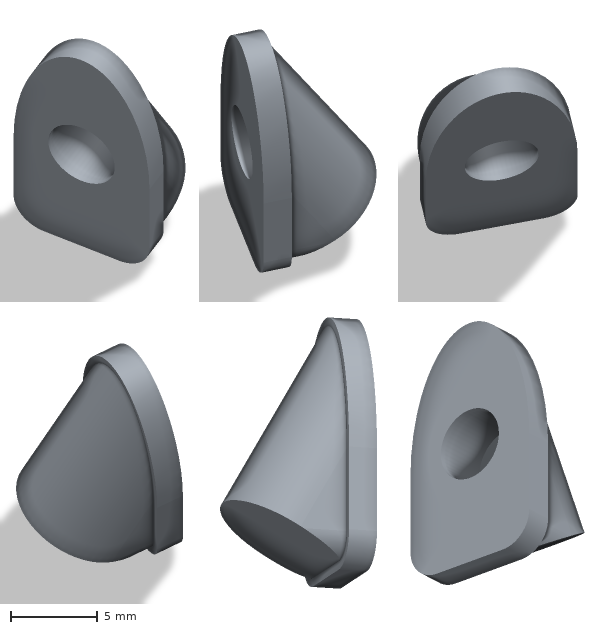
import cadquery as cq
import math

boss_radius = 4.0
boss_tilt = 30.0
axis_height = 6.4
boss_corner_radius = 1.5
flange_lip = 0.5
plate_thickness = 1.7
hole_diameter = 4.4
hole_height = 7.1
hole_depth = 3.5

tilt = math.radians(boss_tilt)
ellipse_height = boss_radius / math.sin(tilt)
boss_top = axis_height + ellipse_height
boss_reach = boss_top * math.sin(tilt) * math.cos(tilt)
boss_tip_height = boss_reach * math.tan(tilt)


def arch_outline(lip=0.0):
    """Arch on the back of the plate, grown by lip: half ellipse, straight sides, rounded lower corners."""
    half_width = boss_radius + lip
    bottom = -lip
    corner_shift = (boss_corner_radius + lip) * (1 - math.sqrt(0.5))
    flat_half = boss_radius - boss_corner_radius
    corner_x = half_width - corner_shift
    corner_z = bottom + corner_shift
    return (
        cq.Workplane("XZ")
        .moveTo(-flat_half, bottom)
        .lineTo(flat_half, bottom)
        .threePointArc((corner_x, corner_z), (half_width, boss_corner_radius))
        .lineTo(half_width, axis_height)
        .ellipseArc(half_width, ellipse_height + lip, 0, 180, startAtCurrent=True)
        .lineTo(-half_width, boss_corner_radius)
        .threePointArc((-corner_x, corner_z), (-flat_half, bottom))
        .close()
    )


def make_plate():
    """Flange plate: the boss section grown by the lip, from y = -plate_thickness to y = 0."""
    return arch_outline(flange_lip).extrude(plate_thickness)


def make_boss():
    """Arch section run straight back, limited by the inclined cylinder and its square end face."""
    straight_run = arch_outline().extrude(-boss_reach)
    side_profile = (
        cq.Workplane("YZ", origin=(-boss_radius, 0, 0))
        .polyline([(0, 0), (boss_reach, boss_tip_height), (0, boss_top)])
        .close()
        .extrude(2 * boss_radius)
    )
    axis_plane = cq.Plane(
        origin=(0, 0, axis_height),
        xDir=(1, 0, 0),
        normal=(0, -math.sin(tilt), math.cos(tilt)),
    )
    channel_half_length = 2 * boss_top
    channel = (
        cq.Workplane(axis_plane)
        .moveTo(-boss_radius, 0)
        .threePointArc((0, boss_radius), (boss_radius, 0))
        .lineTo(boss_radius, -boss_top)
        .lineTo(-boss_radius, -boss_top)
        .close()
        .extrude(channel_half_length, both=True)
    )
    return straight_run.intersect(side_profile).intersect(channel)


def make_hole():
    """Blind round hole, square to the front of the plate."""
    return (
        cq.Workplane("XZ", origin=(0, -plate_thickness, hole_height))
        .circle(hole_diameter / 2)
        .extrude(-hole_depth)
    )


result = make_plate().union(make_boss()).cut(make_hole())